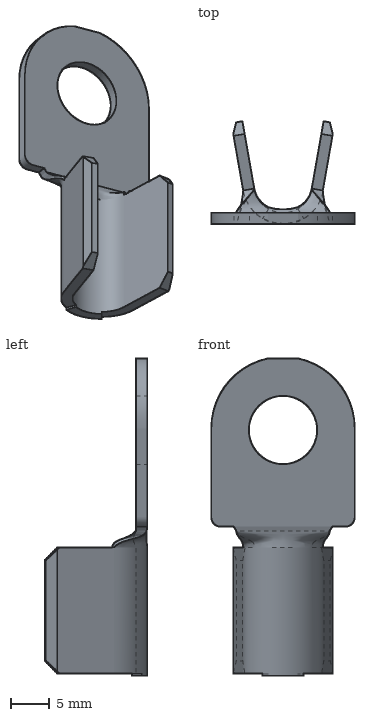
import cadquery as cq
import math

sheet = 1.5
total_height = 41.53
total_depth = 13.46

plate_width = 18.8
plate_bottom = 19.5
plate_corner_radius = 1.25
plate_arc_radius = plate_width / 2
plate_flat_half = 1.95
arc_center_z = total_height - math.sqrt(plate_arc_radius**2 - plate_flat_half**2)
hole_diameter = 8.9
hole_center_z = 32.15

barrel_bottom = 0.3
barrel_top = 16.8
barrel_radius = 5.3
bore_radius = barrel_radius - sheet
wing_angle = math.radians(10)
wing_tip_thickness = 0.85
wing_bevel_length = 1.45
wing_corner = 1.7

tab_half_angle = math.radians(30.5)

neck_shoulder_z = 17.5
neck_toe_z = 18.4
neck_bar_z = 19.0
neck_bar_half_width = 6.15
neck_root_half_width = 6.45
neck_recess = 0.1
neck_raised_floor = 1.8


def on_circle(radius, angle):
    """Point about the barrel axis; the angle is measured from the +X direction toward +Y."""
    return (radius * math.cos(angle), barrel_radius + radius * math.sin(angle))


def mirror(point):
    """Reflect an XY point in the symmetry plane of the part."""
    return (-point[0], point[1])


def plate():
    half = plate_width / 2
    diagonal = plate_arc_radius * math.sqrt(0.5)
    outline = (
        cq.Workplane("XZ")
        .moveTo(-half, plate_bottom)
        .lineTo(half, plate_bottom)
        .lineTo(half, arc_center_z)
        .threePointArc((diagonal, arc_center_z + diagonal), (plate_flat_half, total_height))
        .lineTo(-plate_flat_half, total_height)
        .threePointArc((-diagonal, arc_center_z + diagonal), (-half, arc_center_z))
        .close()
    )
    body = outline.extrude(-sheet).edges("|Y and <Z").fillet(plate_corner_radius)
    hole = cq.Workplane("XZ").center(0, hole_center_z).circle(hole_diameter / 2).extrude(-sheet)
    return body.cut(hole)


def barrel():
    outer_start = on_circle(barrel_radius, -wing_angle)
    inner_start = on_circle(bore_radius, -wing_angle)
    along = (math.sin(wing_angle), math.cos(wing_angle))
    outward = (math.cos(wing_angle), -math.sin(wing_angle))
    wing_length = (total_depth - inner_start[1]) / along[1]

    def on_wing(distance, thickness):
        return tuple(inner_start[i] + distance * along[i] + thickness * outward[i] for i in (0, 1))

    bevel_start = on_wing(wing_length - wing_bevel_length, sheet)
    tip_outer = on_wing(wing_length, wing_tip_thickness)
    tip_inner = on_wing(wing_length, 0)
    body = (
        cq.Workplane("XY", origin=(0, 0, barrel_bottom))
        .moveTo(*mirror(outer_start))
        .threePointArc((0, 0), outer_start)
        .lineTo(*bevel_start)
        .lineTo(*tip_outer)
        .lineTo(*tip_inner)
        .lineTo(*inner_start)
        .threePointArc((0, sheet), mirror(inner_start))
        .lineTo(*mirror(tip_inner))
        .lineTo(*mirror(tip_outer))
        .lineTo(*mirror(bevel_start))
        .close()
        .extrude(barrel_top - barrel_bottom)
    )
    for corner_z, inward in ((barrel_bottom, 1), (barrel_top, -1)):
        wing_plane = cq.Plane(origin=(*tip_inner, corner_z), xDir=(*along, 0), normal=(*outward, 0))
        corner = (
            cq.Workplane(wing_plane)
            .polyline([(0, 0), (-wing_corner, 0), (0, inward * wing_corner)])
            .close()
            .extrude(sheet, both=True)
        )
        body = body.cut(corner).cut(corner.mirror("YZ"))
    return body


def tab():
    right = -math.pi / 2 + tab_half_angle
    outer_end = on_circle(barrel_radius, right)
    inner_end = on_circle(bore_radius, right)
    return (
        cq.Workplane("XY")
        .moveTo(*mirror(outer_end))
        .threePointArc((0, 0), outer_end)
        .lineTo(*inner_end)
        .threePointArc((0, sheet), mirror(inner_end))
        .close()
        .extrude(barrel_bottom)
    )


def neck_section(z, outer_end, inner_end, floor_front, floor_back):
    """Channel section bounded by a front arc, a back arc and two arm ends."""
    return (
        cq.Workplane("XY", origin=(0, 0, z))
        .moveTo(*mirror(outer_end))
        .threePointArc((0, floor_front), outer_end)
        .lineTo(*inner_end)
        .threePointArc((0, floor_back), mirror(inner_end))
        .close()
        .val()
    )


def bar_section(z, half_width, front):
    """Flat section reaching from the given front depth to the back of the sheet."""
    return (
        cq.Workplane("XY", origin=(0, 0, z))
        .moveTo(-half_width, front)
        .lineTo(half_width, front)
        .lineTo(half_width, sheet)
        .lineTo(-half_width, sheet)
        .close()
        .val()
    )


def neck():
    barrel_outer = on_circle(barrel_radius, -wing_angle)
    barrel_inner = on_circle(bore_radius, -wing_angle)
    shoulder_outer = (5.35, 3.3)
    shoulder_inner = (4.0, 4.2)
    toe_outer = (5.95, 0.6)
    toe_inner = (5.7, 2.2)
    bar = bar_section(neck_bar_z, neck_bar_half_width, neck_recess)
    channel_sections = [
        neck_section(barrel_top, barrel_outer, barrel_inner, 0, sheet),
        neck_section(neck_shoulder_z, shoulder_outer, shoulder_inner, neck_recess, neck_raised_floor),
        neck_section(neck_toe_z, toe_outer, toe_inner, neck_recess, neck_raised_floor),
        bar,
    ]
    channel = cq.Solid.makeLoft(channel_sections)
    root = cq.Solid.makeLoft([bar, bar_section(plate_bottom, neck_root_half_width, 0)], True)
    return cq.Workplane(channel).union(cq.Workplane(root))


result = plate().union(neck()).union(barrel()).union(tab())